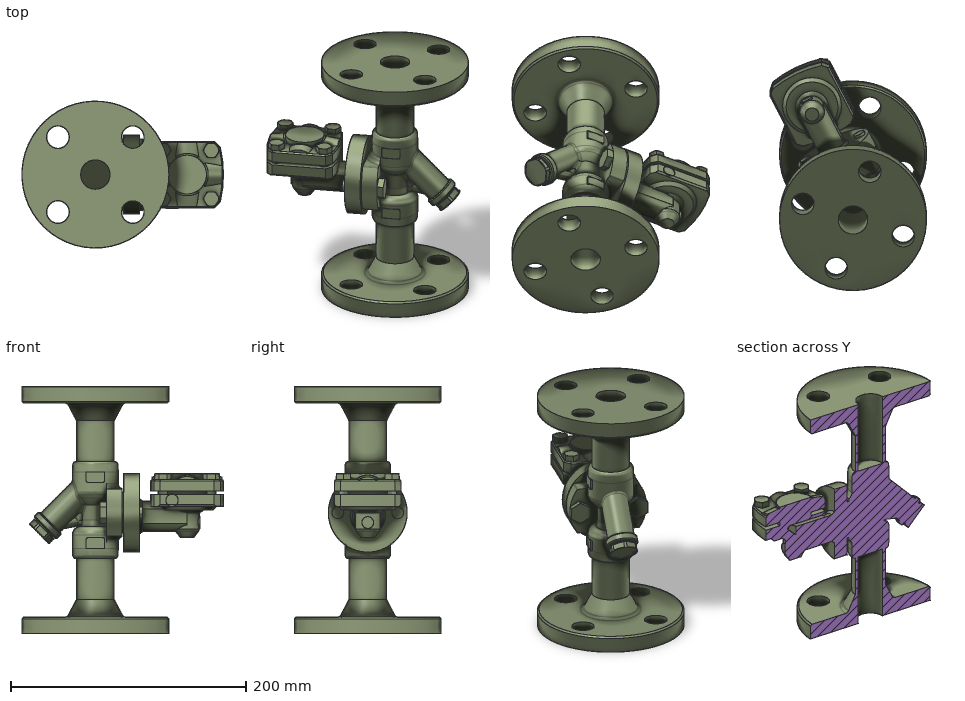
import cadquery as cq
import math

TOTAL_HEIGHT = 210.0
HALF_HEIGHT = TOTAL_HEIGHT / 2

FLANGE_D = 125.0
FLANGE_T = 14.0
FLANGE_CHAMFER = 1.5
FLANGE_HOLE_D = 19.0
FLANGE_HOLE_COUNT = 4
FLANGE_HOLE_START = 45.0
BOLT_CIRCLE_D = 90.0
HUB_D = 45.8
HUB_FILLET_W = 3.0
HUB_FILLET_H = 1.9
HUB_END_Z = 76.0
PIPE_D = 32.0
BORE_D = 25.0

BODY_D = 39.0
BODY_END_Z = 41.3
BARREL_END_Z = 32.5
NECK_D = 23.0
UPPER_BARREL_Z = 15.4
UPPER_ROUND_R = 7.0
UPPER_ROUND_ANGLE = 45.0
NECK_BOTTOM_Z = -8.5
LOWER_SHOULDER_Z = -14.0
LOWER_BARREL_Z = -21.0
PAD_W = 15.6
PAD_H = 9.0
PAD_CORNER_R = 1.5

BRANCH_ANGLE = 45.0
BRANCH_START_Z = 27.5
BRANCH_D = 23.0
BRANCH_FILLET = 3.0
SEAM_LOW = (-19.0, -12.0, 0.0)
SEAM_HIGH = (-10.0, 12.0, 24.0)
COLLAR_D = 27.0
COLLAR_START = 54.0
COLLAR_END = 60.5
COLLAR_CHAMFER = 1.0
PLUG_NECK_D = 21.0
PLUG_START = 61.7
PLUG_END = 67.5
PLUG_D = 23.6
PLUG_FLATS = 21.5
PLUG_RIM_T = 0.5

ELBOW_D = 8.0
ELBOW_CORNER = (-14.5, 0.0, -9.5)
ELBOW_NECK_END = (-10.0, 0.0, 3.0)
ELBOW_BRANCH_END = (-28.0, 0.0, -12.0)
ELBOW_BODY_END = (-8.0, 0.0, -14.0)

JOINT_Z = -2.2
JOINT_D = 67.0
LOBE_X0 = 9.4
LOBE_X1 = 22.8
LOBE_H = 40.0
LOBE_ROOT_R = 4.8
LOBE_EDGE = 0.8
GASKET_D = 35.0
RING_X0 = 24.0
RING_X1 = 37.6
JOINT_BOLT_Y = 25.4
JOINT_BOLT_D = 10.0
JOINT_BOLT_END_X = 40.0
JOINT_HEAD_FLATS = 16.0
JOINT_HEAD_H = 5.5

TRAP_X = 78.0
TRAP_REACH = 31.0
TRAP_SIDE = 28.3
TRAP_CORNER = 5.2
TRAP_BASE_Z0 = 3.2
TRAP_BASE_Z1 = 13.3
COVER_Z0 = 16.2
COVER_Z1 = 26.0
COVER_CHAMFER = 1.2
TRAP_BASE_CHAMFER = 1.5
CAP_D = 33.0
CAP_TOP_Z = 31.1
RIB_R = 14.0
RIB_TOP_Z = 29.7
RIB_TILT = 8.0
RIB_LEVEL_D = 36.0
COVER_BOLT_OFFSET = 20.6
COVER_BOLT_D = 8.0
COVER_HEAD_FLATS = 12.0
COVER_HEAD_CHAMFER = 0.6
TAG_D = 10.5
TAG_X = 65.2
TAG_Z = 8.3
TAG_T = 0.6
UNDERSIDE_D = 50.0
UNDERSIDE_Z = 0.0
UNDERSIDE_CHAMFER = 3.0

ARM_D = 25.8
ARM_Z = -5.3
ARM_WIDTH = 22.8
ARM_FOOT_D = 30.0
ARM_FOOT_END_X = 40.3
BOWL_D = 21.0
BOWL_FLARE_D = 28.0
BOWL_FLARE_Z = -2.6
BOWL_CONE_Z = -16.0
BOWL_BOTTOM_Z = -23.3
BOWL_BOTTOM_D = 11.5
BOWL_SHOULDER_D = 19.4
BOWL_SHOULDER_Z = -18.0
BOWL_PAD_D = 10.0
BOWL_PAD_Z = -10.6
BOWL_PAD_END_X = 89.0


def disc_z(diameter, z0, z1, x=0.0, y=0.0):
    """Upright cylinder between two heights."""
    return cq.Workplane("XY", origin=(x, y, z0)).circle(diameter / 2).extrude(z1 - z0)


def disc_x(diameter, x0, x1, y=0.0, z=0.0):
    """Cylinder along X between two stations."""
    return cq.Workplane("YZ", origin=(x0, y, z)).circle(diameter / 2).extrude(x1 - x0)


def rod(diameter, start, end):
    """Cylinder between two points."""
    path = cq.Vector(*end) - cq.Vector(*start)
    return cq.Workplane(cq.Solid.makeCylinder(diameter / 2, path.Length, cq.Vector(*start), path))


def hexagon_diameter(flats):
    """Diameter across the points of a hexagon."""
    return flats / math.cos(math.pi / 6)


def pipe_end():
    """Upper welding-neck flange with its hub and length of pipe."""
    inner_z = HALF_HEIGHT - FLANGE_T
    flange = disc_z(FLANGE_D, inner_z, HALF_HEIGHT).faces("<Z").edges().chamfer(FLANGE_CHAMFER)
    hub_foot_r = HUB_D / 2 + HUB_FILLET_W
    hub = (
        cq.Workplane("XZ")
        .moveTo(0, inner_z)
        .lineTo(0, HUB_END_Z)
        .lineTo(PIPE_D / 2, HUB_END_Z)
        .lineTo(HUB_D / 2, inner_z - HUB_FILLET_H)
        .tangentArcPoint((hub_foot_r, inner_z), relative=False)
        .close()
        .revolve(360, (0, 0, 0), (0, 1, 0))
    )
    holes = (
        cq.Workplane("XY", origin=(0, 0, inner_z))
        .polarArray(BOLT_CIRCLE_D / 2, FLANGE_HOLE_START, 360, FLANGE_HOLE_COUNT)
        .circle(FLANGE_HOLE_D / 2)
        .extrude(FLANGE_T)
    )
    return flange.cut(holes).union(hub).union(disc_z(PIPE_D, BODY_END_Z, HUB_END_Z))


def pipe_bore():
    """Blind bore from the flange face down to the end of the valve body."""
    return disc_z(BORE_D, BODY_END_Z, HALF_HEIGHT)


def body_shoulder():
    """Rounded shoulder between the upper barrel and the pipe."""
    return (
        cq.Workplane("XZ")
        .moveTo(0, BODY_END_Z)
        .lineTo(0, BARREL_END_Z)
        .lineTo(BODY_D / 2, BARREL_END_Z)
        .spline([(PIPE_D / 2, BODY_END_Z)], tangents=[(0, 1), (-1, 0)], includeCurrent=True)
        .close()
        .revolve(360, (0, 0, 0), (0, 1, 0))
    )


def valve_body():
    """Two round-shouldered barrels joined by a narrow neck."""
    r = BODY_D / 2
    neck_r = NECK_D / 2
    slope = math.radians(UPPER_ROUND_ANGLE)
    under_r = r - UPPER_ROUND_R * (1 - math.cos(slope))
    under_z = UPPER_BARREL_Z - UPPER_ROUND_R * math.sin(slope)
    cone_end_z = under_z - (under_r - neck_r) * math.tan(slope)
    drop = LOWER_SHOULDER_Z - LOWER_BARREL_Z
    lower_mid_r = r - drop * (1 - math.sqrt(0.5))
    lower_mid_z = LOWER_BARREL_Z + drop * math.sqrt(0.5)
    barrel = (
        cq.Workplane("XZ")
        .moveTo(0, BARREL_END_Z)
        .lineTo(r, BARREL_END_Z)
        .lineTo(r, UPPER_BARREL_Z)
        .tangentArcPoint((under_r, under_z), relative=False)
        .lineTo(neck_r, cone_end_z)
        .lineTo(neck_r, NECK_BOTTOM_Z)
        .lineTo(r - drop, LOWER_SHOULDER_Z)
        .threePointArc((lower_mid_r, lower_mid_z), (r, LOWER_BARREL_Z))
        .lineTo(r, -BARREL_END_Z)
        .lineTo(0, -BARREL_END_Z)
        .close()
        .revolve(360, (0, 0, 0), (0, 1, 0))
    )
    pad_centre_z = BARREL_END_Z - PAD_H / 2
    pad = cq.Workplane("XY").box(PAD_W, BODY_D, PAD_H)
    upper_pad = pad.faces("<Z").edges("|Y").fillet(PAD_CORNER_R).translate((0, 0, pad_centre_z))
    upper_end = body_shoulder().union(upper_pad)
    return barrel.union(upper_end).union(upper_end.mirror("XY"))


def strainer_branch():
    """Branch built along +Z, then swung down to point towards -X and -Z."""
    tube = disc_z(BRANCH_D, 0, COLLAR_START)
    collar = disc_z(COLLAR_D, COLLAR_START, COLLAR_END).edges().chamfer(COLLAR_CHAMFER)
    plug_neck = disc_z(PLUG_NECK_D, COLLAR_END, PLUG_START)
    plug_hex = (
        cq.Workplane("XY", origin=(0, 0, PLUG_START))
        .polygon(6, hexagon_diameter(PLUG_FLATS))
        .extrude(PLUG_END - PLUG_START)
        .intersect(disc_z(PLUG_D, PLUG_START, PLUG_END))
    )
    plug_rim = disc_z(PLUG_D, PLUG_END - PLUG_RIM_T, PLUG_END)
    branch = tube.union(collar).union(plug_neck).union(plug_hex).union(plug_rim)
    swing = -(90 + BRANCH_ANGLE)
    return branch.rotate((0, 0, 0), (0, 1, 0), swing).translate((0, 0, BRANCH_START_Z))


def body_with_branch():
    """Valve body and branch, with the seam between them filleted."""
    joined = valve_body().union(strainer_branch())
    seam = cq.selectors.BoxSelector(SEAM_LOW, SEAM_HIGH)
    return joined.edges(seam).fillet(BRANCH_FILLET)


def blow_down_elbow():
    """Small elbow under the branch, with legs into the neck, the branch and the lower barrel."""
    elbow = cq.Workplane("XY", origin=ELBOW_CORNER).sphere(ELBOW_D / 2)
    for end in (ELBOW_NECK_END, ELBOW_BRANCH_END, ELBOW_BODY_END):
        elbow = elbow.union(rod(ELBOW_D, ELBOW_CORNER, end))
    return elbow


def lobe_root():
    """Concave round where the flat top of the side flange runs into the upper barrel."""
    barrel_r = BODY_D / 2
    foot_z = JOINT_Z + LOBE_H / 2
    mid = LOBE_ROOT_R * (1 - math.sqrt(0.5))
    ring = (
        cq.Workplane("XZ")
        .moveTo(0, foot_z)
        .lineTo(barrel_r + LOBE_ROOT_R, foot_z)
        .threePointArc((barrel_r + mid, foot_z + mid), (barrel_r, foot_z + LOBE_ROOT_R))
        .lineTo(0, foot_z + LOBE_ROOT_R)
        .close()
        .revolve(360, (0, 0, 0), (0, 1, 0))
    )
    limits = cq.Workplane("XY", origin=(LOBE_X0, 0, foot_z)).box(
        LOBE_X1 - LOBE_X0, JOINT_D, 2 * LOBE_ROOT_R, centered=(False, True, True)
    )
    return ring.intersect(limits)


def body_side_flange():
    """Round flange cut flat above and below, blended into both barrels."""
    length = LOBE_X1 - LOBE_X0
    flats = cq.Workplane("XY").box(length, JOINT_D, LOBE_H)
    flats = flats.translate(((LOBE_X0 + LOBE_X1) / 2, 0, JOINT_Z))
    lobe = disc_x(JOINT_D, LOBE_X0, LOBE_X1, z=JOINT_Z).intersect(flats)
    lobe = lobe.edges("|X").fillet(LOBE_EDGE)
    lower_root = lobe_root().mirror("XY", (0, 0, JOINT_Z))
    return lobe.union(lobe_root()).union(lower_root)


def joint_bolt(y):
    """Hexagon-headed bolt along X, its end just past the trap ring."""
    head_x0 = LOBE_X0 - JOINT_HEAD_H
    head = (
        cq.Workplane("YZ", origin=(head_x0, y, JOINT_Z))
        .transformed(rotate=(0, 0, 90))
        .polygon(6, hexagon_diameter(JOINT_HEAD_FLATS))
        .extrude(JOINT_HEAD_H)
    )
    return head.union(disc_x(JOINT_BOLT_D, LOBE_X0, JOINT_BOLT_END_X, y, JOINT_Z))


def side_joint():
    """Body flange, gasket, trap ring and the two bolts through them."""
    joint = body_side_flange()
    joint = joint.union(disc_x(GASKET_D, LOBE_X1, RING_X0, z=JOINT_Z))
    joint = joint.union(disc_x(JOINT_D, RING_X0, RING_X1, z=JOINT_Z))
    for y in (-JOINT_BOLT_Y, JOINT_BOLT_Y):
        joint = joint.union(joint_bolt(y))
    return joint


def trap_plate(z0, z1):
    """Plate with cut corners and gently bowed ends."""
    corner_x = TRAP_SIDE
    corner_y = TRAP_SIDE - TRAP_CORNER
    return (
        cq.Workplane("XY", origin=(TRAP_X, 0, z0))
        .moveTo(corner_x, -corner_y)
        .threePointArc((TRAP_REACH, 0), (corner_x, corner_y))
        .lineTo(corner_y, corner_x)
        .lineTo(-corner_y, corner_x)
        .lineTo(-corner_x, corner_y)
        .threePointArc((-TRAP_REACH, 0), (-corner_x, -corner_y))
        .lineTo(-corner_y, -corner_x)
        .lineTo(corner_y, -corner_x)
        .close()
        .extrude(z1 - z0)
    )


def cover_rib():
    """Low arched rib along +X, level beside the cap and then sloping down."""
    axis_z = RIB_TOP_Z - RIB_R
    level_zone = disc_z(RIB_LEVEL_D, COVER_Z0, CAP_TOP_Z)
    level = disc_x(2 * RIB_R, 0, TRAP_REACH, z=axis_z).intersect(level_zone)
    sloping = (
        disc_x(2 * RIB_R, -RIB_LEVEL_D / 2, TRAP_REACH)
        .rotate((0, 0, 0), (0, 1, 0), RIB_TILT)
        .translate((RIB_LEVEL_D / 2, 0, axis_z))
        .cut(disc_z(RIB_LEVEL_D, -HALF_HEIGHT, HALF_HEIGHT))
    )
    outer_half = cq.Workplane("XY", origin=(0, 0, COVER_Z0)).box(
        TRAP_REACH, 2 * RIB_R, CAP_TOP_Z - COVER_Z0, centered=(False, True, False)
    )
    return level.union(sloping).intersect(outer_half)


def cover_ribs():
    """Four ribs at right angles, kept inside the chamfered rim of the cover."""
    ribs = cover_rib()
    for turn in (90, 180, 270):
        ribs = ribs.union(cover_rib().rotate((0, 0, 0), (0, 0, 1), turn))
    rim = cq.Workplane("XY", origin=(0, 0, COVER_Z0)).box(
        2 * (TRAP_REACH - COVER_CHAMFER),
        2 * (TRAP_SIDE - COVER_CHAMFER),
        CAP_TOP_Z - COVER_Z0,
        centered=(True, True, False),
    )
    return ribs.intersect(rim).translate((TRAP_X, 0, 0))


def cover_bolt(x, y):
    """Hexagon head on the cover and the shank crossing the gap below it."""
    head = (
        cq.Workplane("XY", origin=(x, y, COVER_Z1))
        .polygon(6, hexagon_diameter(COVER_HEAD_FLATS))
        .extrude(CAP_TOP_Z - COVER_Z1)
    )
    crown = disc_z(hexagon_diameter(COVER_HEAD_FLATS), COVER_Z1, CAP_TOP_Z, x, y)
    crown = crown.faces(">Z").edges().chamfer(COVER_HEAD_CHAMFER)
    shank = disc_z(COVER_BOLT_D, TRAP_BASE_Z1, COVER_Z0, x, y)
    return head.intersect(crown).union(shank)


def trap_head():
    """Cover, base plate, cap and bolts of the trap; the cap stem bridges the gap between plates."""
    base = trap_plate(TRAP_BASE_Z0, TRAP_BASE_Z1)
    base = base.faces("<Z").edges("|X").chamfer(TRAP_BASE_CHAMFER)
    cover = trap_plate(COVER_Z0, COVER_Z1).faces(">Z").edges().chamfer(COVER_CHAMFER)
    head = base.union(cover)
    head = head.union(disc_z(CAP_D, TRAP_BASE_Z1, CAP_TOP_Z, TRAP_X)).union(cover_ribs())
    for sx in (-1, 1):
        for sy in (-1, 1):
            head = head.union(cover_bolt(TRAP_X + sx * COVER_BOLT_OFFSET, sy * COVER_BOLT_OFFSET))
    tag = cq.Workplane("XZ", origin=(TAG_X, -TRAP_SIDE, TAG_Z)).circle(TAG_D / 2).extrude(TAG_T)
    underside = disc_z(UNDERSIDE_D, UNDERSIDE_Z, TRAP_BASE_Z1, TRAP_X)
    underside = underside.faces("<Z").edges().chamfer(UNDERSIDE_CHAMFER)
    return head.union(tag).union(underside)


def trap_arm():
    """Round inlet arm flattened on both sides, with a round root at the joint."""
    width = cq.Workplane("XY", origin=(RING_X1, 0, ARM_Z)).box(
        TRAP_X - RING_X1, ARM_WIDTH, ARM_D, centered=(False, True, True)
    )
    arm = disc_x(ARM_D, RING_X1, TRAP_X, z=ARM_Z).intersect(width)
    foot = (
        cq.Workplane("YZ", origin=(RING_X1, 0, ARM_Z))
        .circle(ARM_FOOT_D / 2)
        .workplane(offset=ARM_FOOT_END_X - RING_X1)
        .circle(ARM_D / 2)
        .loft()
    )
    return arm.union(foot)


def trap_bowl():
    """Outlet bowl turned about an upright axis, with a small pad on its outer side."""
    bowl = (
        cq.Workplane("XZ")
        .moveTo(0, UNDERSIDE_Z)
        .lineTo(BOWL_FLARE_D / 2, UNDERSIDE_Z)
        .lineTo(BOWL_D / 2, BOWL_FLARE_Z)
        .lineTo(BOWL_D / 2, BOWL_CONE_Z)
        .lineTo(BOWL_SHOULDER_D / 2, BOWL_SHOULDER_Z)
        .lineTo(BOWL_BOTTOM_D / 2, BOWL_BOTTOM_Z)
        .lineTo(0, BOWL_BOTTOM_Z)
        .close()
        .revolve(360, (0, 0, 0), (0, 1, 0))
        .translate((TRAP_X, 0, 0))
    )
    return bowl.union(disc_x(BOWL_PAD_D, TRAP_X, BOWL_PAD_END_X, z=BOWL_PAD_Z))


upper_pipe = pipe_end()
result = body_with_branch().union(upper_pipe).union(upper_pipe.mirror("XY"))
result = result.union(blow_down_elbow()).union(side_joint())
result = result.union(trap_arm()).union(trap_bowl()).union(trap_head())
result = result.cut(pipe_bore()).cut(pipe_bore().mirror("XY"))